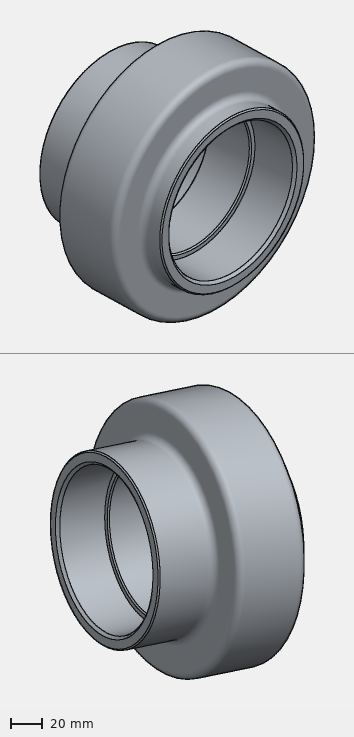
import cadquery as cq


total_length = 109.0
hub_radius = 128.0 / 2
collar_radius = 181.0 / 2

collar_start = 42.5
collar_width = 51.5
blend_radius = 5.0
hub_edge_chamfer = 1.0

bore_radius = 102.0 / 2
bore_edge_chamfer = 1.0
socket_radius = 110.07 / 2
socket_depth = 35.5
socket_lead_in = 2.0


def revolve_about_x(profile):
    """Turn a closed (x, radius) profile through a full circle about the X axis."""
    return profile.close().revolve(360, (0, 0, 0), (1, 0, 0))


def stepped_body():
    """Solid hub and collar with rounded rims, filleted roots and chamfered hub ends."""
    collar_end = collar_start + collar_width
    root_radius = hub_radius + blend_radius
    rim_radius = collar_radius - blend_radius
    chamfered_radius = hub_radius - hub_edge_chamfer
    profile = (
        cq.Workplane("XY")
        .moveTo(0, 0)
        .lineTo(0, chamfered_radius)
        .lineTo(hub_edge_chamfer, hub_radius)
        .lineTo(collar_start - blend_radius, hub_radius)
        .radiusArc((collar_start, root_radius), -blend_radius)
        .lineTo(collar_start, rim_radius)
        .radiusArc((collar_start + blend_radius, collar_radius), blend_radius)
        .lineTo(collar_end - blend_radius, collar_radius)
        .radiusArc((collar_end, rim_radius), blend_radius)
        .lineTo(collar_end, root_radius)
        .radiusArc((collar_end + blend_radius, hub_radius), -blend_radius)
        .lineTo(total_length - hub_edge_chamfer, hub_radius)
        .lineTo(total_length, chamfered_radius)
        .lineTo(total_length, 0)
    )
    return revolve_about_x(profile)


def through_bore():
    """Plain cylindrical passage along the whole length."""
    profile = (
        cq.Workplane("XY")
        .moveTo(0, 0)
        .lineTo(0, bore_radius)
        .lineTo(total_length, bore_radius)
        .lineTo(total_length, 0)
    )
    return revolve_about_x(profile)


def socket():
    """Socket entered at X = 0 through a lead-in and ending in the chamfered edge of the bore."""
    profile = (
        cq.Workplane("XY")
        .moveTo(0, 0)
        .lineTo(0, socket_radius + socket_lead_in)
        .lineTo(socket_lead_in, socket_radius)
        .lineTo(socket_depth, socket_radius)
        .lineTo(socket_depth, bore_radius + bore_edge_chamfer)
        .lineTo(socket_depth + bore_edge_chamfer, bore_radius)
        .lineTo(socket_depth + bore_edge_chamfer, 0)
    )
    return revolve_about_x(profile)


near_socket = socket()
far_socket = near_socket.mirror("YZ").translate((total_length, 0, 0))

result = stepped_body().cut(through_bore()).cut(near_socket).cut(far_socket)